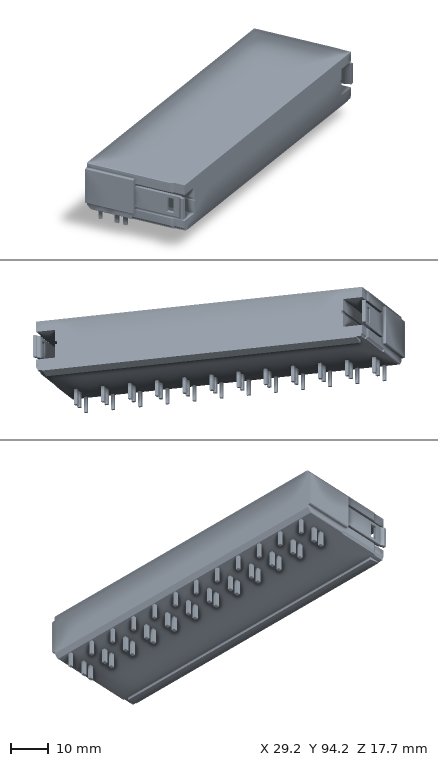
import cadquery as cq

LENGTH = 94.2
WIDTH = 29.2
HEIGHT = 13.5
PAD_HEIGHT = 0.9
HALF_BODY = LENGTH / 2 - PAD_HEIGHT
ROOT_OVERLAP = 0.9

EDGE_CHAMFER = 0.2
FOOT_CHAMFER_X = 1.1
FOOT_CHAMFER_Z = 1.2
UNDERCUT_DEPTH = 0.4
UNDERCUT_BOTTOM = 0.3
UNDERCUT_TOP = 0.85
UNDERCUT_START = 13.5

PAD_WIDTH = 14.4
PAD_BOTTOM = 2.0
PAD_TOP = 12.2

RAMP_START = 25.2
RAMP_END = 26.0
CORNER_RECESS = 0.33

RECESS_DEPTH = 5.7
RECESS_BOTTOM = 3.0
RECESS_TOP = 10.65
TONGUE_GAP = 0.85
TONGUE_THICKNESS = 0.9
BEND_START = 27.7
BEND_MIDDLE = 28.3
BEND_END = 28.6
BEND_RISE = 0.4
LIP_RISE = 0.6
WINDOW_START = 24.0
WINDOW_BOTTOM = 4.7
WINDOW_TOP = 8.95
GROOVE_BOTTOM = 6.7
GROOVE_TOP = 7.5
GROOVE_DEPTH = 0.5

RIDGE_HALF_LENGTH = 44.2
RIDGE_HEIGHT = 0.85
RIDGE_TIP_HEIGHT = 0.2

PIN_COUNT = 12
PIN_PITCH = 7.6
PIN_LENGTH = 4.2
PIN_THICKNESS = 0.85
PIN_ROWS = [(1.8, 0.85), (6.8, 1.1), (9.3, 1.1)]


def block(x_range, y_range, z_range):
    """Box between the given limits on each axis."""
    (x0, x1), (y0, y1), (z0, z1) = x_range, y_range, z_range
    return cq.Workplane("XY").box(x1 - x0, y1 - y0, z1 - z0, centered=False).translate((x0, y0, z0))


def make_housing():
    """Plain block with a bevelled foot and light chamfers along its end edges."""
    body = block((0, WIDTH), (-HALF_BODY, HALF_BODY), (0, HEIGHT))
    body = body.edges("|X").chamfer(EDGE_CHAMFER)
    foot = (
        cq.Workplane("XZ")
        .polyline([(0, 0), (FOOT_CHAMFER_X, 0), (0, FOOT_CHAMFER_Z)])
        .close()
        .extrude(HALF_BODY, both=True)
    )
    return body.cut(foot)


def make_pad():
    """Raised pad on the -Y end, reaching into the housing."""
    pad = block((0, PAD_WIDTH), (-LENGTH / 2, -HALF_BODY + ROOT_OVERLAP), (PAD_BOTTOM, PAD_TOP))
    return pad.faces("<Y").edges("|X").chamfer(EDGE_CHAMFER)


def make_undercut(face_y, start_x):
    """Sloped undercut along the foot of an end face at face_y, running to the +X side."""
    inner_y = face_y + UNDERCUT_DEPTH
    outline = [
        (-LENGTH / 2, 0),
        (inner_y, 0),
        (inner_y, UNDERCUT_BOTTOM),
        (face_y, UNDERCUT_TOP),
        (-LENGTH / 2, UNDERCUT_TOP),
    ]
    return cq.Workplane("YZ").polyline(outline).close().extrude(WIDTH - start_x).translate((start_x, 0, 0))


def make_end_cuts():
    """Everything removed from the -Y end of the housing."""
    corner_face = -HALF_BODY + CORNER_RECESS
    corner = (
        cq.Workplane("XY")
        .polyline([(RAMP_START, -HALF_BODY), (RAMP_END, corner_face), (WIDTH, corner_face), (WIDTH, -HALF_BODY)])
        .close()
        .extrude(HEIGHT)
    )
    back = -HALF_BODY + RECESS_DEPTH
    recess = block((PAD_WIDTH, WIDTH), (-HALF_BODY, back), (RECESS_BOTTOM, RECESS_TOP))
    groove = block((PAD_WIDTH, WIDTH), (back, back + GROOVE_DEPTH), (GROOVE_BOTTOM, GROOVE_TOP))
    undercut = make_undercut(-HALF_BODY, UNDERCUT_START).union(make_undercut(corner_face, RAMP_END))
    return corner.union(recess).union(groove).union(undercut)


def make_tongue():
    """Springy latch tongue with an outward lip and a window, rooted under the pad."""
    outer = -HALF_BODY
    inner = outer + TONGUE_THICKNESS
    bottom = RECESS_BOTTOM + TONGUE_GAP
    top = RECESS_TOP - TONGUE_GAP
    outline = [
        (PAD_WIDTH - ROOT_OVERLAP, outer),
        (BEND_START, outer),
        (BEND_MIDDLE, outer - BEND_RISE),
        (BEND_END, outer - LIP_RISE),
        (WIDTH, outer - LIP_RISE),
        (WIDTH, inner - LIP_RISE),
        (BEND_END, inner - LIP_RISE),
        (BEND_MIDDLE, inner - BEND_RISE),
        (BEND_START, inner),
        (PAD_WIDTH - ROOT_OVERLAP, inner),
    ]
    tongue = cq.Workplane("XY").polyline(outline).close().extrude(top - bottom).translate((0, 0, bottom))
    window = block((WINDOW_START, RAMP_END), (outer, inner), (WINDOW_BOTTOM, WINDOW_TOP))
    return tongue.cut(window)


def make_ridge():
    """Wedge along the +X edge of the underside."""
    outline = [(RAMP_END, 0), (RAMP_END, -RIDGE_HEIGHT), (WIDTH, -RIDGE_TIP_HEIGHT), (WIDTH, 0)]
    return cq.Workplane("XZ").polyline(outline).close().extrude(RIDGE_HALF_LENGTH, both=True)


def make_pins():
    """Rows of rectangular pins under the housing."""
    pins = cq.Workplane("XY")
    for centre, width in PIN_ROWS:
        row = (
            cq.Workplane("XY")
            .center(centre, 0)
            .rarray(0.9, PIN_PITCH, 1, PIN_COUNT)
            .rect(width, PIN_THICKNESS)
            .extrude(-PIN_LENGTH)
        )
        pins = pins.add(row)
    return pins.combine()


def both_ends(feature):
    """The feature together with its mirror image on the +Y end."""
    return feature.union(feature.mirror("XZ"))


result = make_housing().cut(both_ends(make_end_cuts()))
for end_feature in (make_pad(), make_tongue()):
    result = result.union(both_ends(end_feature))
result = result.union(make_ridge()).union(make_pins())